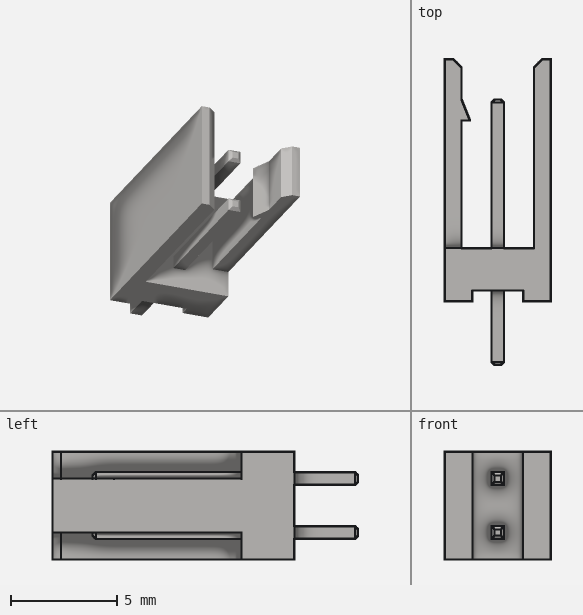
import cadquery as cq

pitch = 2.54
pin_count = 2
housing_width = 5.0
housing_height = pin_count * pitch
housing_length = 11.4
base_length = 2.5
wall_thickness = 0.8
lead_in = 0.4

channel_width = 2.4
channel_depth = 0.5

latch_height = pitch
hook_reach = 0.4
hook_catch_y = 8.5
hook_ramp_end_y = 9.5

pin_size = 0.6
pin_tail = 3.0
pin_length = 12.5
pin_taper = pin_size / 4

half_width = housing_width / 2
wall_inner_x = half_width - wall_thickness


def extrude_centered(points, height):
    """Extrude an XY outline to the given height, symmetric about Z = 0."""
    return cq.Workplane("XY").polyline(points).close().extrude(height / 2, both=True)


def make_base():
    base = cq.Workplane("XY").box(
        housing_width, base_length, housing_height, centered=(True, False, True)
    )
    channel = cq.Workplane("XY").box(
        channel_width, channel_depth, housing_height, centered=(True, False, True)
    )
    return base.cut(channel)


def make_back_wall():
    """Full-height wall on the +X side with a lead-in at its inner tip."""
    outline = [
        (half_width, base_length),
        (half_width, housing_length),
        (half_width - lead_in, housing_length),
        (wall_inner_x, housing_length - lead_in),
        (wall_inner_x, base_length),
    ]
    return extrude_centered(outline, housing_height)


def make_latch():
    """Narrow arm on the -X side with a lead-in and an inward hook."""
    outline = [
        (-half_width, base_length),
        (-half_width, housing_length),
        (-half_width + lead_in, housing_length),
        (-wall_inner_x, housing_length - lead_in),
        (-wall_inner_x, hook_ramp_end_y),
        (-wall_inner_x + hook_reach, hook_catch_y),
        (-wall_inner_x, hook_catch_y),
        (-wall_inner_x, base_length),
    ]
    return extrude_centered(outline, latch_height)


def make_pin(z):
    pin = cq.Workplane("XY").box(pin_size, pin_length, pin_size, centered=(True, False, True))
    pin = pin.faces("<Y or >Y").chamfer(pin_taper)
    return pin.translate((0, -pin_tail, z))


result = make_base().union(make_back_wall()).union(make_latch())
for index in range(pin_count):
    pin_z = (index - (pin_count - 1) / 2) * pitch
    result = result.union(make_pin(pin_z))